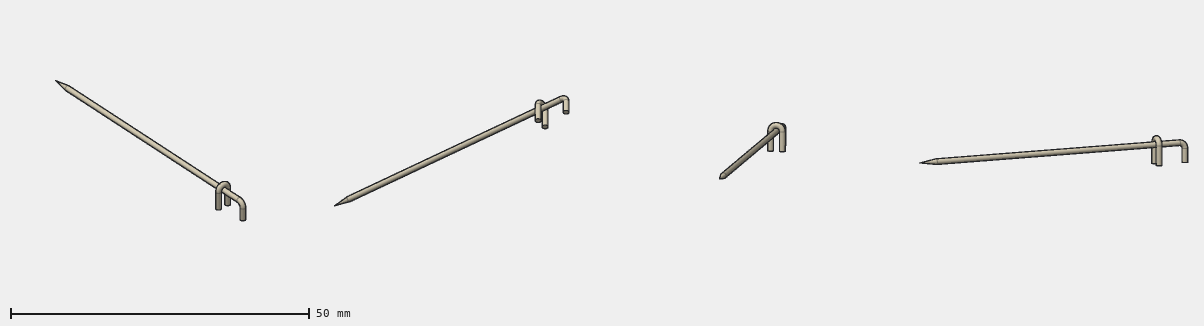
import cadquery as cq

overall_length = 48.5
overall_height = 4.9
staple_width = 3.0
tip_length = 3.0
staple_to_bend = 4.05

wire_diameter = staple_width / 3
wire_radius = wire_diameter / 2
bend_radius = wire_diameter

hook_x = overall_length - wire_radius
bend_start_x = hook_x - bend_radius
staple_x = bend_start_x - staple_to_bend
base_z = bend_radius + wire_radius - overall_height


def make_needle():
    """Straight wire with a conical tip at one end and a downward hook at the other."""
    tip = (
        cq.Workplane("XZ")
        .moveTo(0, 0)
        .lineTo(tip_length, wire_radius)
        .lineTo(tip_length, 0)
        .close()
        .revolve(360, (0, 0, 0), (1, 0, 0))
    )
    centre_line = (
        cq.Workplane("XZ")
        .moveTo(tip_length, 0)
        .lineTo(bend_start_x, 0)
        .tangentArcPoint((hook_x, -bend_radius), relative=False)
        .lineTo(hook_x, base_z)
    )
    wire = cq.Workplane("YZ", origin=(tip_length, 0, 0)).circle(wire_radius).sweep(centre_line)
    return tip.union(wire)


def make_staple():
    """Upside-down U of wire that straddles the needle."""
    centre_line = (
        cq.Workplane("YZ", origin=(staple_x, 0, 0))
        .moveTo(-bend_radius, base_z)
        .lineTo(-bend_radius, 0)
        .threePointArc((0, bend_radius), (bend_radius, 0))
        .lineTo(bend_radius, base_z)
    )
    foot = cq.Workplane("XY", origin=(staple_x, -bend_radius, base_z))
    return foot.circle(wire_radius).sweep(centre_line)


needle = make_needle()
staple = make_staple()

result = cq.Compound.makeCompound([needle.val(), staple.val()])